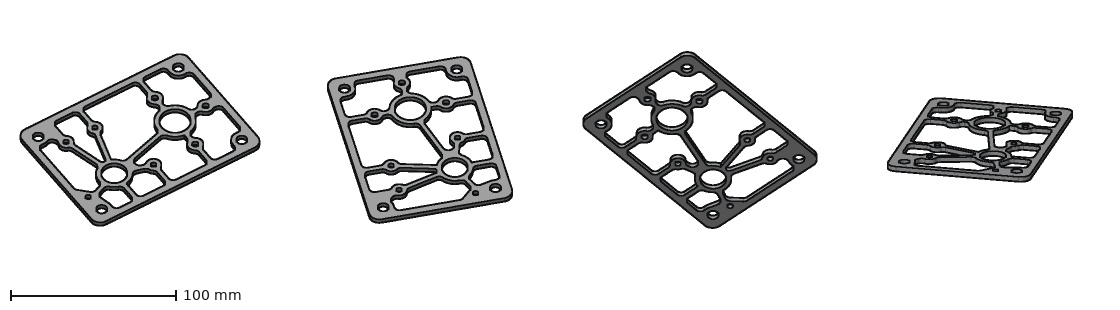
import cadquery as cq
import math

LENGTH_X = 88.9
LENGTH_Y = 120.65
THICKNESS = 3.175
CORNER_RADIUS = 6.35
BORDER = 4.7625
RIB_WIDTH = 3.175
WINDOW_FILLET = 3.175

INNER_X = LENGTH_X / 2 - BORDER
INNER_Y = LENGTH_Y / 2 - BORDER

MOUNT_INSET = 9.525
MOUNT_HOLE_DIAMETER = 6.75
MOUNT_BOSS_RADIUS = 6.55
MOUNT_X = LENGTH_X / 2 - MOUNT_INSET
MOUNT_Y = LENGTH_Y / 2 - MOUNT_INSET

UPPER_RING = (0, 25.4)
UPPER_BORE_DIAMETER = 19.05
UPPER_RING_RADIUS = UPPER_BORE_DIAMETER / 2 + RIB_WIDTH
UPPER_SCREW_REACH = 22.225
UPPER_SCREW_DIAMETER = 3.9
UPPER_BOSS_RADIUS = 5.0
UPPER_TOP_SCREW = (0, UPPER_RING[1] + UPPER_SCREW_REACH)
UPPER_LEFT_SCREW = (-UPPER_SCREW_REACH, UPPER_RING[1])
UPPER_RIGHT_SCREW = (UPPER_SCREW_REACH, UPPER_RING[1])
TOP_POST_WIDTH = 7.9

LOWER_RING = (14.9, -28.5)
LOWER_BORE_DIAMETER = 15.875
LOWER_RING_RADIUS = LOWER_BORE_DIAMETER / 2 + RIB_WIDTH
LOWER_SCREW_DIAMETER = 3.4
LOWER_BOSS_RADIUS = 4.75
LOWER_SCREW_X = 22.225
LEFT_SCREW_RISE = 10.4
RIGHT_SCREW_RISE = 23.7
LEFT_HIGH_SCREW = (-LOWER_SCREW_X, LOWER_RING[1] + LEFT_SCREW_RISE)
LEFT_LOW_SCREW = (-LOWER_SCREW_X, LOWER_RING[1] - LEFT_SCREW_RISE)
RIGHT_HIGH_SCREW = (LOWER_SCREW_X, LOWER_RING[1] + RIGHT_SCREW_RISE)
RIGHT_LOW_SCREW = (LOWER_SCREW_X, LOWER_RING[1] - RIGHT_SCREW_RISE)
RIGHT_RIB_WIDTH = 3.4
SLANTED_RIB_ANGLE = -67.5
SLANTED_RIB_LENGTH = 22
DIAGONAL_EDGE_OFFSET = 4.3
DIAGONAL_EDGE_RISE = 2.5

SHARP_ZONE_RADIUS = 3.0
SHARP_ZONE_SHIFT = 1.2
LEFT_FORK_ZONE_RADIUS = 4.5
LEFT_FORK_FILLET = 1.95
UPPER_FORK_ZONE_RADIUS = 5.0
UPPER_FORK_FILLET = 3.57

mounts = [(sx * MOUNT_X, sy * MOUNT_Y) for sx in (-1, 1) for sy in (-1, 1)]
upper_screws = [UPPER_TOP_SCREW, UPPER_LEFT_SCREW, UPPER_RIGHT_SCREW]
lower_screws = [LEFT_HIGH_SCREW, LEFT_LOW_SCREW, RIGHT_HIGH_SCREW, RIGHT_LOW_SCREW]


def disc(center, radius):
    return cq.Workplane("XY").center(*center).circle(radius).extrude(THICKNESS)


def prism(points):
    return cq.Workplane("XY").polyline(points).close().extrude(THICKNESS)


def rib(start, end, width=RIB_WIDTH):
    """Straight bar of the given width between two points."""
    dx = end[0] - start[0]
    dy = end[1] - start[1]
    bar = cq.Workplane("XY").rect(math.hypot(dx, dy), width).extrude(THICKNESS)
    bar = bar.rotate((0, 0, 0), (0, 0, 1), math.degrees(math.atan2(dy, dx)))
    return bar.translate(((start[0] + end[0]) / 2, (start[1] + end[1]) / 2, 0))


def polar(center, radius, angle):
    """Point at an angle in degrees around a centre."""
    turn = math.radians(angle)
    return (center[0] + radius * math.cos(turn), center[1] + radius * math.sin(turn))


def lower_left_web():
    """Fills the gap between the low left screw boss, the border and the corner boss."""
    return prism([
        (-INNER_X, LEFT_LOW_SCREW[1]),
        LEFT_LOW_SCREW,
        (-MOUNT_X, -MOUNT_Y),
        (-INNER_X, -MOUNT_Y),
    ])


def lower_right_web():
    """Joins the low right screw hole to the corner boss and, by a 45 degree edge, to the border."""
    mount = (MOUNT_X, -MOUNT_Y)
    dx = mount[0] - RIGHT_LOW_SCREW[0]
    dy = mount[1] - RIGHT_LOW_SCREW[1]
    growth = MOUNT_BOSS_RADIUS - LOWER_BOSS_RADIUS
    tangent = 90 + math.degrees(math.atan2(dy, dx) + math.asin(growth / math.hypot(dx, dy)))
    shoulder = polar(polar(RIGHT_LOW_SCREW, DIAGONAL_EDGE_OFFSET, 135), DIAGONAL_EDGE_RISE, 45)
    drop = shoulder[1] + INNER_Y
    return prism([
        (shoulder[0] - drop, -INNER_Y),
        shoulder,
        polar(RIGHT_LOW_SCREW, LOWER_BOSS_RADIUS, tangent),
        polar(mount, MOUNT_BOSS_RADIUS, tangent),
        mount,
        (INNER_X, -MOUNT_Y),
        (INNER_X, -INNER_Y),
    ])


def web_pieces():
    pieces = [disc(UPPER_RING, UPPER_RING_RADIUS), disc(LOWER_RING, LOWER_RING_RADIUS)]
    pieces += [disc(p, MOUNT_BOSS_RADIUS) for p in mounts]
    for mx, my in mounts:
        pieces.append(rib((mx, my), (math.copysign(INNER_X, mx), my), 2 * MOUNT_BOSS_RADIUS))
        pieces.append(rib((mx, my), (mx, math.copysign(INNER_Y, my)), 2 * MOUNT_BOSS_RADIUS))
    pieces += [disc(p, UPPER_BOSS_RADIUS) for p in upper_screws]
    for screw in (LEFT_HIGH_SCREW, LEFT_LOW_SCREW, RIGHT_HIGH_SCREW):
        pieces.append(disc(screw, LOWER_BOSS_RADIUS))
        pieces.append(rib(LOWER_RING, screw))
    pieces += [
        rib(UPPER_RING, LOWER_RING),
        rib(UPPER_RING, UPPER_TOP_SCREW),
        rib(UPPER_TOP_SCREW, (0, INNER_Y), TOP_POST_WIDTH),
        rib((-INNER_X, UPPER_RING[1]), (INNER_X, UPPER_RING[1])),
        rib(LOWER_RING, polar(LOWER_RING, SLANTED_RIB_LENGTH, SLANTED_RIB_ANGLE)),
        rib(LOWER_RING, (INNER_X, LOWER_RING[1]), RIGHT_RIB_WIDTH),
        rib(RIGHT_HIGH_SCREW, (INNER_X, RIGHT_HIGH_SCREW[1])),
        rib(LEFT_HIGH_SCREW, (-INNER_X, LEFT_HIGH_SCREW[1])),
        rib(LEFT_LOW_SCREW, (-INNER_X, LEFT_LOW_SCREW[1])),
        lower_left_web(),
        lower_right_web(),
    ]
    return pieces


def sharp_windows():
    """Openings between the ribs before their corners are rounded."""
    opening = cq.Workplane("XY").rect(2 * INNER_X, 2 * INNER_Y).extrude(THICKNESS)
    for piece in web_pieces():
        opening = opening.cut(piece)
    return opening


def round_corners(windows, radius):
    """Rounds every window corner by offsetting the outlines inward and back outward."""
    rounded = cq.Workplane("XY")
    for outline in windows.faces("<Z").wires().vals():
        for shrunk in outline.offset2D(-radius):
            for restored in shrunk.offset2D(radius):
                rounded = rounded.add(restored)
    return rounded.toPending().extrude(THICKNESS)


def sharp_corner_zone(ring, ring_radius, rib_end, width, side):
    """Disc around the corner of a ring and a radial rib, on the left (1) or right (-1) of the rib.

    The disc is moved sideways off the rib so that it leaves the opposite edge alone.
    """
    direction = math.degrees(math.atan2(rib_end[1] - ring[1], rib_end[0] - ring[0]))
    spread = math.degrees(math.asin(width / 2 / ring_radius))
    corner = polar(ring, ring_radius, direction + side * spread)
    return disc(polar(corner, SHARP_ZONE_SHIFT, direction + side * 90), SHARP_ZONE_RADIUS)


def finished_windows():
    """Rounded windows with the differently rounded corners exchanged zone by zone."""
    sharp = sharp_windows()
    right_rib_end = (INNER_X, LOWER_RING[1])
    left_fork = polar(LOWER_RING, LOWER_RING_RADIUS + RIB_WIDTH, 180)
    upper_fork = polar(LOWER_RING, LOWER_RING_RADIUS + RIB_WIDTH, 90)
    exchanges = [
        (sharp_corner_zone(UPPER_RING, UPPER_RING_RADIUS, UPPER_RIGHT_SCREW, RIB_WIDTH, -1), sharp),
        (sharp_corner_zone(LOWER_RING, LOWER_RING_RADIUS, right_rib_end, RIGHT_RIB_WIDTH, 1), sharp),
        (sharp_corner_zone(LOWER_RING, LOWER_RING_RADIUS, LEFT_HIGH_SCREW, RIB_WIDTH, -1), sharp),
        (disc(left_fork, LEFT_FORK_ZONE_RADIUS), round_corners(sharp, LEFT_FORK_FILLET)),
        (disc(upper_fork, UPPER_FORK_ZONE_RADIUS), round_corners(sharp, UPPER_FORK_FILLET)),
    ]
    windows = round_corners(sharp, WINDOW_FILLET)
    for zone, replacement in exchanges:
        windows = windows.cut(zone).union(replacement.intersect(zone))
    return windows.clean()


def bore(body, centers, diameter):
    for center in centers:
        body = body.cut(disc(center, diameter / 2))
    return body


plate = cq.Workplane("XY").rect(LENGTH_X, LENGTH_Y).extrude(THICKNESS)
plate = plate.edges("|Z").fillet(CORNER_RADIUS)
plate = plate.cut(finished_windows())
plate = bore(plate, mounts, MOUNT_HOLE_DIAMETER)
plate = bore(plate, [UPPER_RING], UPPER_BORE_DIAMETER)
plate = bore(plate, [LOWER_RING], LOWER_BORE_DIAMETER)
plate = bore(plate, upper_screws, UPPER_SCREW_DIAMETER)
plate = bore(plate, lower_screws, LOWER_SCREW_DIAMETER)
result = plate